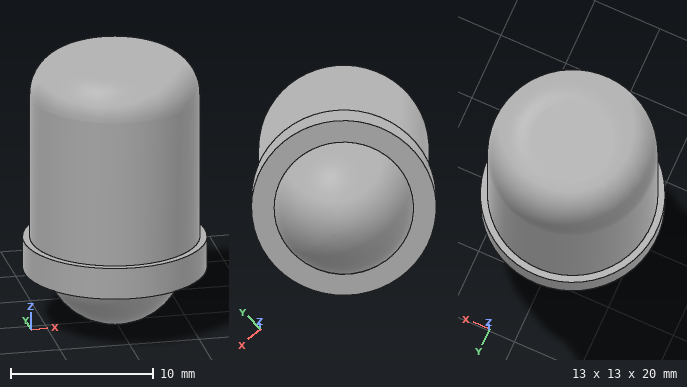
import cadquery as cq

total_height = 20.0
body_diameter = 12.0
crown_radius = 3.0
flange_diameter = 13.0
flange_thickness = 2.3
ball_diameter = 10.0
ball_protrusion = 4.0

flange_bottom = 0.0
body_height = total_height - ball_protrusion
ball_center_height = flange_bottom + ball_diameter / 2 - ball_protrusion


def make_body():
    """Cylindrical housing with a rounded crown around its flat top."""
    body = cq.Workplane("XY", origin=(0, 0, flange_bottom)).circle(body_diameter / 2).extrude(body_height)
    return body.faces(">Z").edges().fillet(crown_radius)


def make_flange():
    """Collar at the lower end of the housing."""
    return cq.Workplane("XY", origin=(0, 0, flange_bottom)).circle(flange_diameter / 2).extrude(flange_thickness)


def make_ball():
    """Ball seated in the housing, protruding below the flange."""
    return cq.Workplane("XY", origin=(0, 0, ball_center_height)).sphere(ball_diameter / 2)


result = make_body().union(make_flange()).union(make_ball())